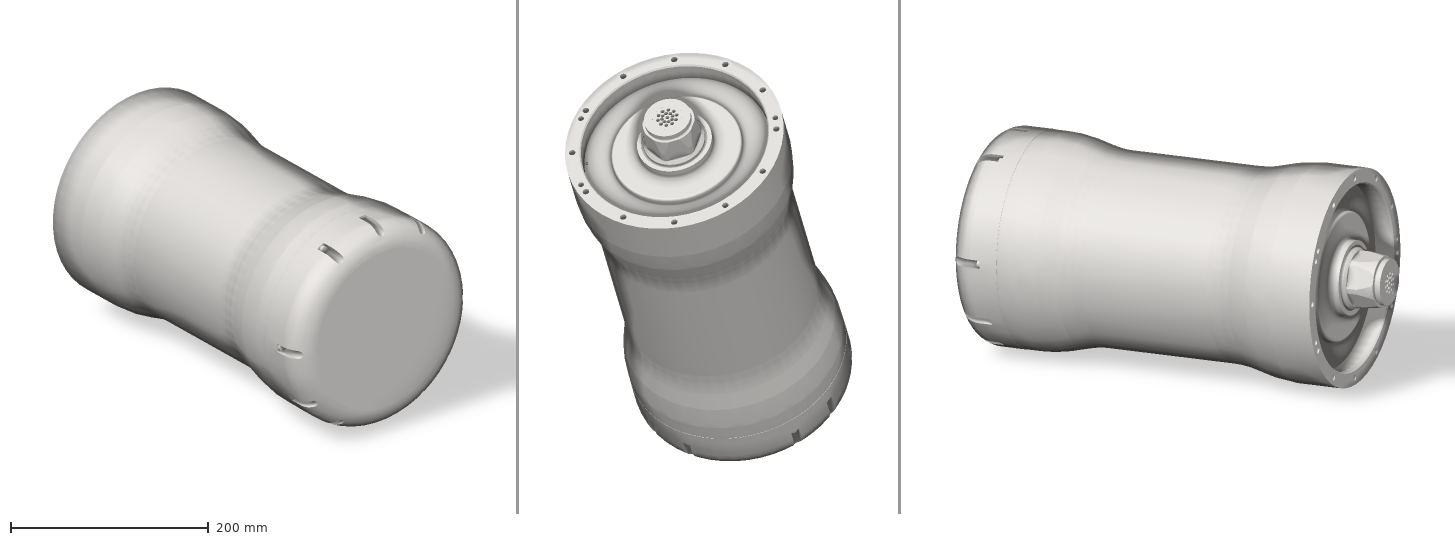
import cadquery as cq
import math


housing_length = 400.5
flange_radius = 112.5
waist_radius = 100.8
rear_radius = 112.2
flare_arc_radius = 106.0
flare_angle = math.radians(14.2)
front_flare_start = 46.5
rear_flare_end = 330.2
cap_start = 347.2
cap_radius = 112.5
cap_edge_radius = 24.3

recess_radius = 96.4
recess_rim_radius = 195.33 / 2
recess_rim_depth = 1.5
recess_floor = 20.5
hub_radius = 134.1 / 2
hub_face = 11.5
hub_overlap = 2.0
hub_fillet = 2.4
boss_radius = 77 / 2
boss_face = 0.8
boss_fillet = 3.0
collar_groove_radius = 68 / 2
collar_groove_floor = 2.2
collar_radius = 63 / 2
collar_cone_height = 2.5
collar_cone_base = -1.0
collar_face = collar_cone_base - collar_cone_height

connector_tip = housing_length - 438.96
tip_radius = 48.1 / 2
neck_radius = 46 / 2
neck_start = -32.9
hex_start = -31.6
hex_cone_end = -14.0
hex_cone_radius = 26.7
hex_corner_radius = 28.7
hex_across_flats = 52.2
hex_corner_angle = 12.3
hex_flat_turn = 60 / 2 - hex_corner_angle
insert_radius = 30 / 2
insert_depth = 0.1
contact_diameter = 4.0
contact_depth = 5.0
contact_rings = [
    (1, 0.0, 0.0),
    (8, 5.6, 13.0),
    (10, 9.8, 12.0),
]

flange_hole_ring = 105.0
bolt_hole_count = 12
bolt_hole_diameter = 6.65
bolt_hole_depth = 16.0
drill_point_angle = math.radians(118)
dowel_hole_diameter = 6.0
dowel_hole_depth = 12.0
dowel_hole_angles = [8.0, 156.0, 204.0]
vent_hole_ring = 94.0
vent_hole_diameter = 2.0
vent_hole_depth = 8.0
vent_counterbore_diameter = 4.0
vent_counterbore_depth = 1.0

slot_width = 9.2
slot_axis_radius = 107.2
slot_overcut = 1.0
screw_slot_start = 365.5
screw_slot_angles = [0, 60, 120, 180, 240, 300]
screw_head_diameter = 8.5
screw_head_length = 3.7
screw_head_overlap = 1.0
long_slot_start = 362.0
long_slot_angles = [90, -35, 215]


def on_ring(radius, angle):
    """Y and Z of a point; the angle runs from -Y towards +Z."""
    turn = math.radians(angle)
    return -radius * math.cos(turn), radius * math.sin(turn)


def rod(x_start, x_end, radius, y=0.0, z=0.0):
    """Cylinder along X."""
    start = cq.Vector(x_start, y, z)
    return cq.Workplane(cq.Solid.makeCylinder(radius, x_end - x_start, start, cq.Vector(1, 0, 0)))


def revolve_about_x(outline):
    return outline.close().revolve(360, (0, 0, 0), (1, 0, 0))


def arc_mid(start, turn_center, end):
    """Middle point of the short arc from start to end about turn_center."""
    half = ((start[0] + end[0]) / 2 - turn_center[0], (start[1] + end[1]) / 2 - turn_center[1])
    radius = math.dist(start, turn_center)
    scale = radius / math.hypot(*half)
    return turn_center[0] + half[0] * scale, turn_center[1] + half[1] * scale


def flare_points(x_full, full_radius, direction):
    """Tangent arc, line and arc from full radius to the waist; direction is +1 or -1 along X.

    Returns the points of the outline in order from the full radius to the waist."""
    run = flare_arc_radius * math.sin(flare_angle)
    drop = flare_arc_radius * (1 - math.cos(flare_angle))
    slope_drop = full_radius - waist_radius - 2 * drop
    x_waist = x_full + direction * (2 * run + slope_drop / math.tan(flare_angle))
    start = (x_full, full_radius)
    slope_start = (x_full + direction * run, full_radius - drop)
    slope_end = (x_waist - direction * run, waist_radius + drop)
    end = (x_waist, waist_radius)
    outer_mid = arc_mid(start, (x_full, full_radius - flare_arc_radius), slope_start)
    waist_mid = arc_mid(slope_end, (x_waist, waist_radius + flare_arc_radius), end)
    return [start, outer_mid, slope_start, slope_end, waist_mid, end]


def make_housing():
    front = flare_points(front_flare_start, flange_radius, 1)
    rear = flare_points(rear_flare_end, rear_radius, -1)[::-1]
    edge_center = (housing_length - cap_edge_radius, cap_radius - cap_edge_radius)
    edge_start = (edge_center[0], cap_radius)
    edge_end = (housing_length, edge_center[1])
    outline = (
        cq.Workplane("XY")
        .moveTo(recess_floor, 0)
        .lineTo(recess_floor, recess_radius)
        .lineTo(recess_rim_depth, recess_radius)
        .lineTo(0, recess_rim_radius)
        .lineTo(0, flange_radius)
        .lineTo(*front[0])
        .threePointArc(front[1], front[2])
        .lineTo(*front[3])
        .threePointArc(front[4], front[5])
        .lineTo(*rear[0])
        .threePointArc(rear[1], rear[2])
        .lineTo(*rear[3])
        .threePointArc(rear[4], rear[5])
        .lineTo(cap_start, rear_radius)
        .lineTo(cap_start, cap_radius)
        .lineTo(*edge_start)
        .threePointArc(arc_mid(edge_start, edge_center, edge_end), edge_end)
        .lineTo(housing_length, 0)
    )
    return revolve_about_x(outline)


def make_hub():
    """Stepped hub on the recess floor, up to the collar behind the connector."""
    foot_start = (recess_floor, hub_radius + hub_fillet)
    foot_end = (recess_floor - hub_fillet, hub_radius)
    foot_center = (foot_end[0], foot_start[1])
    edge_start = (hub_face + hub_fillet, hub_radius)
    edge_end = (hub_face, hub_radius - hub_fillet)
    edge_center = (edge_start[0], edge_end[1])
    boss_foot_start = (hub_face, boss_radius + boss_fillet)
    boss_foot_end = (hub_face - boss_fillet, boss_radius)
    boss_foot_center = (boss_foot_end[0], boss_foot_start[1])
    buried = recess_floor + hub_overlap
    outline = (
        cq.Workplane("XY")
        .moveTo(buried, 0)
        .lineTo(buried, foot_start[1])
        .lineTo(*foot_start)
        .threePointArc(arc_mid(foot_start, foot_center, foot_end), foot_end)
        .lineTo(*edge_start)
        .threePointArc(arc_mid(edge_start, edge_center, edge_end), edge_end)
        .lineTo(*boss_foot_start)
        .threePointArc(arc_mid(boss_foot_start, boss_foot_center, boss_foot_end), boss_foot_end)
        .lineTo(boss_face, boss_radius)
        .lineTo(boss_face, collar_groove_radius)
        .lineTo(collar_groove_floor, collar_groove_radius)
        .lineTo(collar_groove_floor, collar_radius)
        .lineTo(collar_cone_base, collar_radius)
        .lineTo(collar_face, collar_radius - collar_cone_height)
        .lineTo(collar_face, 0)
    )
    return revolve_about_x(outline)


def make_connector():
    envelope = revolve_about_x(
        cq.Workplane("XY")
        .moveTo(hex_start, 0)
        .lineTo(hex_start, hex_cone_radius)
        .lineTo(hex_cone_end, hex_corner_radius)
        .lineTo(collar_face, hex_corner_radius)
        .lineTo(collar_face, 0)
    )
    hexagon = (
        cq.Workplane("YZ", origin=(hex_start, 0, 0))
        .polygon(6, hex_across_flats, circumscribed=True)
        .extrude(collar_face - hex_start)
        .rotate((0, 0, 0), (1, 0, 0), hex_flat_turn)
    )
    neck = rod(neck_start, hex_start, neck_radius)
    tip = rod(connector_tip, neck_start, tip_radius)
    connector = envelope.intersect(hexagon).union(neck).union(tip)
    return connector.cut(rod(connector_tip, connector_tip + insert_depth, insert_radius))


def cut_contacts(body):
    for count, ring, first_angle in contact_rings:
        for index in range(count):
            y, z = on_ring(ring, first_angle + index * 360 / count)
            contact = rod(connector_tip, connector_tip + contact_depth, contact_diameter / 2, y, z)
            body = body.cut(contact)
    return body


def bolt_hole(y, z):
    """Blind hole with a drill point."""
    radius = bolt_hole_diameter / 2
    point = cq.Solid.makeCone(
        radius,
        0,
        radius / math.tan(drill_point_angle / 2),
        cq.Vector(bolt_hole_depth, y, z),
        cq.Vector(1, 0, 0),
    )
    return rod(0, bolt_hole_depth, radius, y, z).union(cq.Workplane(point))


def cut_flange_holes(body):
    for index in range(bolt_hole_count):
        y, z = on_ring(flange_hole_ring, index * 360 / bolt_hole_count)
        body = body.cut(bolt_hole(y, z))
    for angle in dowel_hole_angles:
        y, z = on_ring(flange_hole_ring, angle)
        body = body.cut(rod(0, dowel_hole_depth, dowel_hole_diameter / 2, y, z))
    vent_end = recess_floor + vent_hole_depth
    body = body.cut(rod(recess_floor, vent_end, vent_hole_diameter / 2, vent_hole_ring))
    counterbore_end = recess_floor + vent_counterbore_depth
    return body.cut(rod(recess_floor, counterbore_end, vent_counterbore_diameter / 2, vent_hole_ring))


def slot(x_start, angle):
    """Round-bottomed groove along X, open outwards and to the rear."""
    length = housing_length - x_start
    floor = rod(x_start, housing_length, slot_width / 2, -slot_axis_radius)
    height = cap_radius - slot_axis_radius + slot_overcut
    opening = cq.Workplane("XY").box(length, height, slot_width, centered=(False, False, True))
    opening = opening.translate((x_start, -slot_axis_radius - height, 0))
    return floor.union(opening).rotate((0, 0, 0), (1, 0, 0), -angle)


def cut_slots(body):
    for angle in long_slot_angles:
        body = body.cut(slot(long_slot_start, angle))
    for angle in screw_slot_angles:
        body = body.cut(slot(screw_slot_start, angle))
        y, z = on_ring(slot_axis_radius, angle)
        head_start = screw_slot_start - screw_head_overlap
        head_end = screw_slot_start + screw_head_length
        body = body.union(rod(head_start, head_end, screw_head_diameter / 2, y, z))
    return body


result = make_housing().union(make_hub()).union(make_connector())
result = cut_contacts(result)
result = cut_flange_holes(result)
result = cut_slots(result)